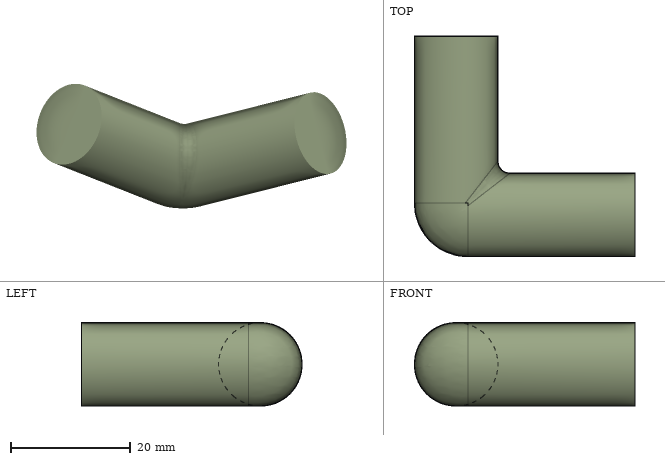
import cadquery as cq

tube_diameter = 14.0
overall_length = 37.0
outer_bend_radius = 9.0
crotch_fillet = 2.0

tube_radius = tube_diameter / 2
leg_length = overall_length - tube_radius
inner_corner = tube_diameter


def legs():
    """Two straight legs meeting where their axes cross, with the inside corner filleted."""
    leg_along_x = (
        cq.Workplane("YZ", origin=(tube_radius, tube_radius, 0))
        .circle(tube_radius)
        .extrude(leg_length)
    )
    leg_along_y = (
        cq.Workplane("XZ", origin=(tube_radius, tube_radius, 0))
        .circle(tube_radius)
        .extrude(-leg_length)
    )
    edge_zone = cq.selectors.BoxSelector(
        (tube_radius, tube_radius, -tube_radius),
        (inner_corner, inner_corner, tube_radius),
    )
    joined = leg_along_x.union(leg_along_y)
    return joined.edges("%ELLIPSE").edges(edge_zone).fillet(crotch_fillet)


def corner_block():
    """Square column holding the space that the bend replaces."""
    return cq.Workplane("XY").box(
        outer_bend_radius,
        outer_bend_radius,
        2 * tube_diameter,
        centered=(False, False, True),
    )


def bend():
    """Quarter turn of the part of the tube section lying outside the bend axis."""
    axis_offset = outer_bend_radius - tube_radius
    half_chord = (tube_radius**2 - axis_offset**2) ** 0.5
    return (
        cq.Workplane("XZ", origin=(outer_bend_radius, outer_bend_radius, 0))
        .moveTo(0, -half_chord)
        .threePointArc((-outer_bend_radius, 0), (0, half_chord))
        .close()
        .revolve(90, (0, 0), (0, 1))
    )


result = legs().cut(corner_block()).union(bend())